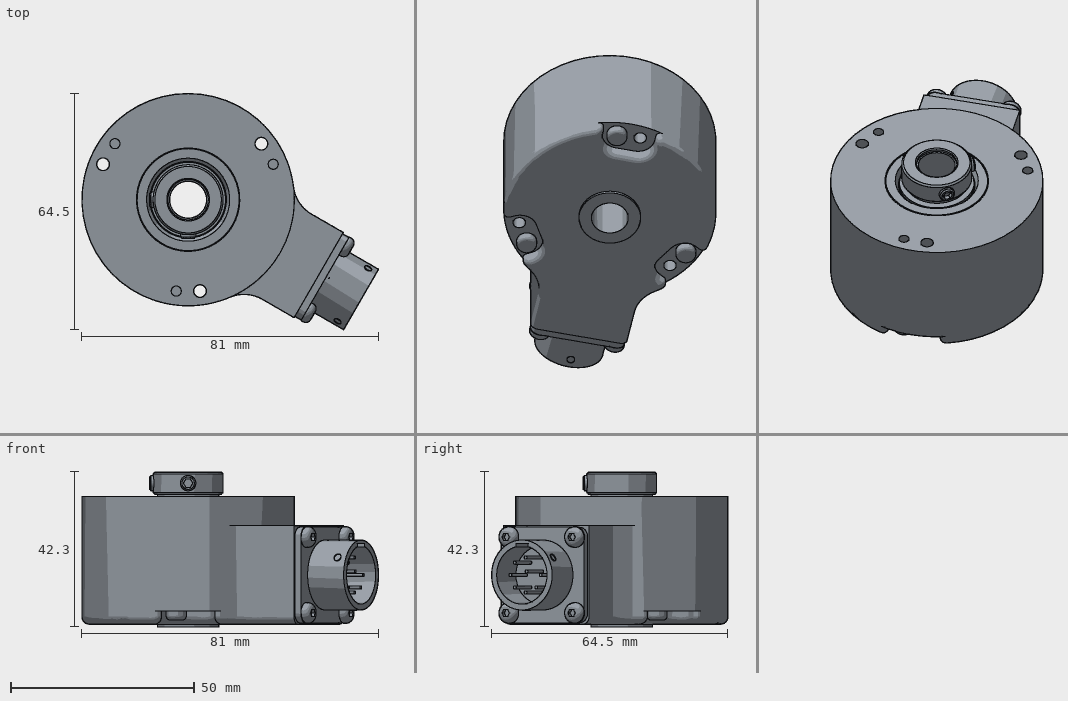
import cadquery as cq
import math


NECK_HEADING = -30.0

HOUSING_R = 29.0
HOUSING_H = 34.9
BOTTOM_FILLET = 2.0

EDGE_MARGIN = 0.1

NECK_HALF_W = 13.4
NECK_H = 2 * NECK_HALF_W
NECK_END = 41.1
NECK_BLEND_R = 9.95
CONNECTOR_Z = NECK_H / 2

PAIR_ANGLES = (-60.0, 60.0, 180.0)
HOLE_CIRCLE_R = 24.9
HOLE_OFFSET = 3.2
THROUGH_HOLE_R = 1.7
BLIND_HOLE_R = 1.4
BLIND_HOLE_DEPTH = 9.7
POCKET_H = 3.6
POCKET_R = 4.6
POCKET_FLAT_HALF_W = 2.7
POCKET_CORNER_R = 1.2
COVER_SCREW_HEAD_R = 2.75
COVER_SCREW_HEAD_H = 2.4
COVER_SCREW_ROUND = 1.1

RECESS_TOP_R = 11.3
RECESS_FLOOR_R = 10.45
RECESS_DEPTH = 1.6
SEAL_R = 10.2
SEAL_DROP = 0.7
RING_GROOVE_R = 14.0
RING_GROOVE_W = 0.2
RING_GROOVE_DEPTH = 0.4

SHAFT_R = 8.4
SHAFT_BOTTOM = -0.8
BORE_R = 5.0
COLLAR_BORE_R = 5.5
COLLAR_BORE_CHAMFER = 0.3
SHAFT_TOP_SETBACK = 1.0
COLLAR_R = 9.55
COLLAR_BOTTOM = 35.45
COLLAR_TOP = 41.5
COLLAR_CHAMFER = 0.5
SET_SCREW_HEADINGS = (-90.0, 180.0)
SET_SCREW_R = 2.1
SET_SCREW_REACH = 10.5
SET_SCREW_CHAMFER = 0.4
SET_SCREW_HEX = 2.6
SET_SCREW_HEX_DEPTH = 1.2

PLATE_T = 2.0
PLATE_HALF = 13.0
PLATE_SCREW_POS = 10.4
PLATE_CORNER_R = PLATE_HALF - PLATE_SCREW_POS
PLATE_SCREW_HEAD_R = 2.8
PLATE_SCREW_HEAD_H = 2.2
PLATE_SCREW_ROUND = 1.5
PLATE_SCREW_HEX = 2.35
PLATE_SCREW_HEX_DEPTH = 1.2

SHELL_R = 9.55
SHELL_BORE_R = 7.9
SHELL_END = 54.5
SHELL_FLOOR_T = 0.8
SHELL_FLOOR = NECK_END + PLATE_T + SHELL_FLOOR_T
KEYWAY_W = 3.8
KEYWAY_TOP_R = 8.7
BAYONET_ANGLES = (30.0, 150.0, 270.0)
BAYONET_R = 1.05
BAYONET_REACH = 9.7
BAYONET_X = 51.9

PIN_R = 0.445
PIN_SETBACK = 2.0
PIN_END = SHELL_END - PIN_SETBACK
PIN_RING_R = 4.8
PIN_PITCH_ANGLE = 45.0
PIN_FIRST_ANGLE = 90.0
PIN_COUNT = 7
INNER_PIN_POS = (0.3, 1.0)


def disc(radius, bottom, top):
    return cq.Workplane("XY").workplane(offset=bottom).circle(radius).extrude(top - bottom)


def facing_x(x):
    """Work plane at a given X, facing outwards along the neck: local x is Y, local y is Z."""
    return cq.Workplane("YZ", origin=(x, 0, CONNECTOR_Z))


def polar(radius, angle):
    return radius * math.cos(math.radians(angle)), radius * math.sin(math.radians(angle))


def turned(solid, angle):
    return solid.rotate((0, 0, 0), (0, 0, 1), angle)


def make_neck():
    blend_y = NECK_HALF_W + NECK_BLEND_R
    centre_distance = HOUSING_R + NECK_BLEND_R
    blend_x = math.sqrt(centre_distance**2 - blend_y**2)
    blend_angle = math.degrees(math.atan2(blend_y, blend_x))
    start_x, start_y = polar(HOUSING_R, blend_angle)
    mid_dx, mid_dy = polar(NECK_BLEND_R, (180 + blend_angle + 270) / 2)
    mid_x = blend_x + mid_dx
    mid_y = blend_y + mid_dy
    return (
        cq.Workplane("XY")
        .moveTo(0, 0)
        .lineTo(start_x, -start_y)
        .threePointArc((mid_x, -mid_y), (blend_x, -NECK_HALF_W))
        .lineTo(NECK_END, -NECK_HALF_W)
        .lineTo(NECK_END, NECK_HALF_W)
        .lineTo(blend_x, NECK_HALF_W)
        .threePointArc((mid_x, mid_y), (start_x, start_y))
        .close()
        .extrude(NECK_H)
    )


def make_pocket():
    """Bottom pocket around the hole pair at angle 0, open to the outside."""
    half_w = POCKET_FLAT_HALF_W + POCKET_R
    outer_x = HOUSING_R + POCKET_R
    back_x = HOLE_CIRCLE_R - POCKET_R
    arc_x = HOLE_CIRCLE_R - POCKET_R * math.sqrt(0.5)
    arc_y = POCKET_FLAT_HALF_W + POCKET_R * math.sqrt(0.5)
    return (
        cq.Workplane("XY")
        .moveTo(outer_x, -half_w)
        .lineTo(HOLE_CIRCLE_R, -half_w)
        .threePointArc((arc_x, -arc_y), (back_x, -POCKET_FLAT_HALF_W))
        .lineTo(back_x, POCKET_FLAT_HALF_W)
        .threePointArc((arc_x, arc_y), (HOLE_CIRCLE_R, half_w))
        .lineTo(outer_x, half_w)
        .close()
        .extrude(POCKET_H)
    )


def is_pocket_corner(edge):
    """True for the short upright edges where a pocket wall meets the outside of the housing."""
    middle = edge.Center()
    on_outside = math.hypot(middle.x, middle.y) > HOUSING_R - EDGE_MARGIN
    return on_outside and edge.Length() < POCKET_H + EDGE_MARGIN


def make_housing():
    body = disc(HOUSING_R, 0, HOUSING_H).union(make_neck())
    pocket = make_pocket()
    for angle in PAIR_ANGLES:
        body = body.cut(turned(pocket, angle))
    body = body.edges("|Z").filter(is_pocket_corner).fillet(POCKET_CORNER_R)
    end_edge = cq.selectors.BoxSelector(
        (NECK_END - EDGE_MARGIN, -NECK_HALF_W, -EDGE_MARGIN),
        (NECK_END + EDGE_MARGIN, NECK_HALF_W, EDGE_MARGIN),
    )
    rounded_rim = cq.selectors.InverseSelector(end_edge)
    return body.faces("<Z").edges(rounded_rim).fillet(BOTTOM_FILLET)


def cut_mounting_holes(body):
    through = disc(THROUGH_HOLE_R, 0, HOUSING_H).translate((HOLE_CIRCLE_R, HOLE_OFFSET, 0))
    blind = disc(BLIND_HOLE_R, HOUSING_H - BLIND_HOLE_DEPTH, HOUSING_H)
    blind = blind.translate((HOLE_CIRCLE_R, -HOLE_OFFSET, 0))
    for angle in PAIR_ANGLES:
        body = body.cut(turned(through, angle)).cut(turned(blind, angle))
    return body


def add_cover_screws(body):
    head = disc(COVER_SCREW_HEAD_R, POCKET_H - COVER_SCREW_HEAD_H, POCKET_H)
    head = head.faces("<Z").edges().fillet(COVER_SCREW_ROUND)
    head = head.translate((HOLE_CIRCLE_R, -HOLE_OFFSET, 0))
    for angle in PAIR_ANGLES:
        body = body.union(turned(head, angle))
    return body


def cut_top_face(body):
    floor = HOUSING_H - RECESS_DEPTH
    recess = (
        cq.Workplane("XZ")
        .polyline([(0, floor), (RECESS_FLOOR_R, floor), (RECESS_TOP_R, HOUSING_H), (0, HOUSING_H)])
        .close()
        .revolve(360, (0, 0, 0), (0, 1, 0))
    )
    groove = (
        cq.Workplane("XY")
        .workplane(offset=HOUSING_H - RING_GROOVE_DEPTH)
        .circle(RING_GROOVE_R + RING_GROOVE_W / 2)
        .circle(RING_GROOVE_R - RING_GROOVE_W / 2)
        .extrude(RING_GROOVE_DEPTH)
    )
    return body.cut(recess).cut(groove)


def add_seal(body):
    """Flat shaft seal in the middle of the bearing recess, with a narrow moat left around it."""
    return body.union(disc(SEAL_R, HOUSING_H - RECESS_DEPTH, HOUSING_H - SEAL_DROP))


def make_set_screw():
    """Set screw pointing along +X, with a hexagon socket in its outer end."""
    start = (BORE_R + COLLAR_R) / 2
    middle_z = (COLLAR_BOTTOM + COLLAR_TOP) / 2
    screw = (
        cq.Workplane("YZ", origin=(start, 0, middle_z))
        .circle(SET_SCREW_R)
        .extrude(SET_SCREW_REACH - start)
        .faces(">X")
        .chamfer(SET_SCREW_CHAMFER)
    )
    socket = (
        cq.Workplane("YZ", origin=(SET_SCREW_REACH, 0, middle_z))
        .polygon(6, SET_SCREW_HEX)
        .extrude(-SET_SCREW_HEX_DEPTH)
    )
    return screw, socket


def add_shaft(body):
    collar = disc(COLLAR_R, COLLAR_BOTTOM, COLLAR_TOP).edges().chamfer(COLLAR_CHAMFER)
    body = body.union(disc(SHAFT_R, SHAFT_BOTTOM, COLLAR_TOP)).union(collar)
    screw, socket = make_set_screw()
    for heading in SET_SCREW_HEADINGS:
        angle = heading - NECK_HEADING
        body = body.union(turned(screw, angle)).cut(turned(socket, angle))
    shaft_top = COLLAR_TOP - SHAFT_TOP_SETBACK
    bore = (
        cq.Workplane("XZ")
        .moveTo(0, SHAFT_BOTTOM)
        .lineTo(BORE_R, SHAFT_BOTTOM)
        .lineTo(BORE_R, shaft_top)
        .lineTo(COLLAR_BORE_R, shaft_top)
        .lineTo(COLLAR_BORE_R, COLLAR_TOP - COLLAR_BORE_CHAMFER)
        .lineTo(COLLAR_BORE_R + COLLAR_BORE_CHAMFER, COLLAR_TOP)
        .lineTo(0, COLLAR_TOP)
        .close()
        .revolve(360, (0, 0, 0), (0, 1, 0))
    )
    return body.cut(bore)


def add_flange(body):
    face = NECK_END + PLATE_T
    plate = (
        facing_x(NECK_END)
        .rect(2 * PLATE_HALF, 2 * PLATE_HALF)
        .extrude(PLATE_T)
        .edges("|X")
        .fillet(PLATE_CORNER_R)
    )
    both_sides = (-PLATE_SCREW_POS, PLATE_SCREW_POS)
    spots = [(y, z) for y in both_sides for z in both_sides]
    heads = (
        facing_x(face)
        .pushPoints(spots)
        .circle(PLATE_SCREW_HEAD_R)
        .extrude(PLATE_SCREW_HEAD_H)
        .faces(">X")
        .edges()
        .fillet(PLATE_SCREW_ROUND)
    )
    sockets = (
        facing_x(face + PLATE_SCREW_HEAD_H)
        .pushPoints(spots)
        .polygon(6, PLATE_SCREW_HEX)
        .extrude(-PLATE_SCREW_HEX_DEPTH)
    )
    return body.union(plate).union(heads).cut(sockets)


def add_connector(body):
    face = NECK_END + PLATE_T
    shell = facing_x(NECK_END).circle(SHELL_R).extrude(SHELL_END - NECK_END)
    upright = disc(BAYONET_R, 0, BAYONET_REACH).translate((BAYONET_X, 0, 0))
    for angle in BAYONET_ANGLES:
        bayonet = upright.rotate((0, 0, 0), (1, 0, 0), angle - 90)
        shell = shell.union(bayonet.translate((0, 0, CONNECTOR_Z)))
    depth = SHELL_END - SHELL_FLOOR
    shell = shell.cut(facing_x(SHELL_FLOOR).circle(SHELL_BORE_R).extrude(depth))
    keyway = facing_x(SHELL_FLOOR).center(0, KEYWAY_TOP_R / 2).rect(KEYWAY_W, KEYWAY_TOP_R)
    shell = shell.cut(keyway.extrude(depth))

    ring = [polar(PIN_RING_R, PIN_FIRST_ANGLE + i * PIN_PITCH_ANGLE) for i in range(PIN_COUNT)]
    pins = facing_x(face).pushPoints(ring + [INNER_PIN_POS]).circle(PIN_R).extrude(PIN_END - face)
    return body.union(shell.union(pins))


housing = cut_mounting_holes(make_housing())
housing = add_seal(cut_top_face(add_cover_screws(housing)))
encoder = add_connector(add_flange(add_shaft(housing)))
result = turned(encoder, NECK_HEADING)